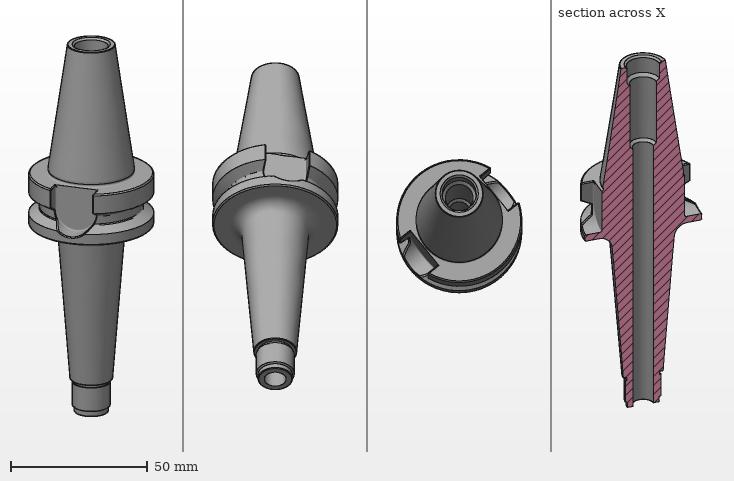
import cadquery as cq
import math


GAUGE_DIAMETER = 31.75
TAPER_RATIO = 7 / 24
TAPER_LENGTH = 48.4
TAPER_END_CHAMFER = 0.25
TAPER_LAND = 0.7
RELIEF_DIAMETER = 31.2
RELIEF_FOOT_DIAMETER = 32.4

FLANGE_DIAMETER = 46.0
FLANGE_TOP_Z = -2.0
FLANGE_BOTTOM_Z = -22.0
FLANGE_CHAMFER = 0.5
GROOVE_DIAMETER = 38.0
GROOVE_FLOOR_TOP_Z = -11.8
GROOVE_FLOOR_BOTTOM_Z = -15.3
GROOVE_CORNER_RADIUS = 0.5
GROOVE_FLANK_ANGLE = 30.0

SLOT_WIDTH = 16.1
SLOT_FLOOR_OFFSET = 16.3
SLOT_ARC_CENTER_Z = -11.1
SLOT_CORNER_RADIUS = 0.5
SLOT_EDGE_CHAMFER = 0.4

NECK_END_DIAMETER = 15.8
NECK_HALF_ANGLE = 4.5
NECK_END_Z = -82.4
NECK_END_CHAMFER = 0.3
NECK_FILLET = 5.0

SPIGOT_DIAMETER = 14.0
UNDERCUT_DIAMETER = 13.0
UNDERCUT_END_Z = -83.9
TIP_DIAMETER = 12.7
SPIGOT_CONE_TOP_Z = -93.0
SPIGOT_CONE_HEIGHT = 0.4
TIP_CHAMFER = 0.3
BOTTOM_Z = -95.5

BORE_DIAMETER = 12.5
BORE_MOUTH_DIAMETER = 14.0
BORE_DEPTH = 7.0
THREAD_DIAMETER = 10.11
THREAD_DEPTH = 34.0
THROUGH_DIAMETER = 8.0
BORE_CONE_ANGLE = 45.0

TOLERANCE = 0.001


def make_body():
    """Turned outline of the holder, revolved about the spindle axis."""
    small_radius = (GAUGE_DIAMETER - TAPER_LENGTH * TAPER_RATIO) / 2
    gauge_radius = GAUGE_DIAMETER / 2
    relief_radius = RELIEF_DIAMETER / 2
    relief_foot_radius = RELIEF_FOOT_DIAMETER / 2
    relief_middle_z = (FLANGE_TOP_Z - TAPER_LAND) / 2
    flange_radius = FLANGE_DIAMETER / 2
    groove_radius = GROOVE_DIAMETER / 2
    flank_angle = math.radians(GROOVE_FLANK_ANGLE)
    flank_height = (flange_radius - groove_radius) * math.tan(flank_angle)
    neck_end_radius = NECK_END_DIAMETER / 2
    corner_tangent = GROOVE_CORNER_RADIUS * math.tan(math.pi / 4 - flank_angle / 2)
    corner_radius = groove_radius + corner_tangent * math.cos(flank_angle)
    corner_rise = corner_tangent * math.sin(flank_angle)
    neck_angle = math.radians(NECK_HALF_ANGLE)
    neck_top_z = FLANGE_BOTTOM_Z - NECK_FILLET * (1 - math.sin(neck_angle))
    neck_radius = neck_end_radius + (neck_top_z - NECK_END_Z) * math.tan(neck_angle)
    fillet_center_radius = neck_radius + NECK_FILLET * math.cos(neck_angle)
    spigot_radius = SPIGOT_DIAMETER / 2
    undercut_radius = UNDERCUT_DIAMETER / 2
    tip_radius = TIP_DIAMETER / 2
    return (
        cq.Workplane("XZ")
        .moveTo(0, TAPER_LENGTH)
        .lineTo(small_radius - TAPER_END_CHAMFER, TAPER_LENGTH)
        .lineTo(small_radius, TAPER_LENGTH - TAPER_END_CHAMFER)
        .lineTo(gauge_radius, 0)
        .lineTo(gauge_radius, -TAPER_LAND)
        .threePointArc((relief_radius, relief_middle_z), (relief_foot_radius, FLANGE_TOP_Z))
        .lineTo(flange_radius - FLANGE_CHAMFER, FLANGE_TOP_Z)
        .lineTo(flange_radius, FLANGE_TOP_Z - FLANGE_CHAMFER)
        .lineTo(flange_radius, GROOVE_FLOOR_TOP_Z + flank_height)
        .lineTo(corner_radius, GROOVE_FLOOR_TOP_Z + corner_rise)
        .radiusArc((groove_radius, GROOVE_FLOOR_TOP_Z - corner_tangent), -GROOVE_CORNER_RADIUS)
        .lineTo(groove_radius, GROOVE_FLOOR_BOTTOM_Z + corner_tangent)
        .radiusArc((corner_radius, GROOVE_FLOOR_BOTTOM_Z - corner_rise), -GROOVE_CORNER_RADIUS)
        .lineTo(flange_radius, GROOVE_FLOOR_BOTTOM_Z - flank_height)
        .lineTo(flange_radius, FLANGE_BOTTOM_Z + FLANGE_CHAMFER)
        .lineTo(flange_radius - FLANGE_CHAMFER, FLANGE_BOTTOM_Z)
        .lineTo(fillet_center_radius, FLANGE_BOTTOM_Z)
        .radiusArc((neck_radius, neck_top_z), -NECK_FILLET)
        .lineTo(neck_end_radius, NECK_END_Z)
        .lineTo(neck_end_radius - NECK_END_CHAMFER, NECK_END_Z - NECK_END_CHAMFER)
        .lineTo(undercut_radius, NECK_END_Z - NECK_END_CHAMFER)
        .lineTo(undercut_radius, UNDERCUT_END_Z)
        .lineTo(spigot_radius, UNDERCUT_END_Z)
        .lineTo(spigot_radius, SPIGOT_CONE_TOP_Z)
        .lineTo(tip_radius, SPIGOT_CONE_TOP_Z - SPIGOT_CONE_HEIGHT)
        .lineTo(tip_radius, BOTTOM_Z + TIP_CHAMFER)
        .lineTo(tip_radius - TIP_CHAMFER, BOTTOM_Z)
        .lineTo(0, BOTTOM_Z)
        .close()
        .revolve(360, (0, 0, 0), (0, 1, 0))
    )


def make_bore():
    """Stepped axial bore, revolved about the spindle axis."""
    bore_radius = BORE_DIAMETER / 2
    mouth_radius = BORE_MOUTH_DIAMETER / 2
    thread_radius = THREAD_DIAMETER / 2
    through_radius = THROUGH_DIAMETER / 2
    cone_slope = math.tan(math.radians(BORE_CONE_ANGLE))
    bore_end_z = TAPER_LENGTH - BORE_DEPTH
    thread_end_z = TAPER_LENGTH - THREAD_DEPTH
    return (
        cq.Workplane("XZ")
        .moveTo(0, TAPER_LENGTH)
        .lineTo(mouth_radius, TAPER_LENGTH)
        .lineTo(bore_radius, TAPER_LENGTH - (mouth_radius - bore_radius) * cone_slope)
        .lineTo(bore_radius, bore_end_z)
        .lineTo(thread_radius, bore_end_z - (bore_radius - thread_radius) * cone_slope)
        .lineTo(thread_radius, thread_end_z)
        .lineTo(through_radius, thread_end_z - (thread_radius - through_radius) * cone_slope)
        .lineTo(through_radius, BOTTOM_Z)
        .lineTo(0, BOTTOM_Z)
        .close()
        .revolve(360, (0, 0, 0), (0, 1, 0))
    )


def make_slot(side):
    """Round-ended drive slot, open at the flange top; side is +1 or -1 along Y."""
    half_width = SLOT_WIDTH / 2
    slot_depth = FLANGE_DIAMETER / 2 - SLOT_FLOOR_OFFSET
    return (
        cq.Workplane("XZ", origin=(0, side * SLOT_FLOOR_OFFSET, 0))
        .moveTo(-half_width, 0)
        .lineTo(half_width, 0)
        .lineTo(half_width, SLOT_ARC_CENTER_Z)
        .threePointArc((0, SLOT_ARC_CENTER_Z - half_width), (-half_width, SLOT_ARC_CENTER_Z))
        .close()
        .extrude(-side * slot_depth)
    )


def on_slot_wall(point):
    if point.z > SLOT_ARC_CENTER_Z:
        wall_distance = abs(point.x)
    else:
        wall_distance = math.hypot(point.x, point.z - SLOT_ARC_CENTER_Z)
    return abs(wall_distance - SLOT_WIDTH / 2) < TOLERANCE


def on_slot_floor(point):
    return abs(abs(point.y) - SLOT_FLOOR_OFFSET) < TOLERANCE


def on_wall_seam(points):
    """True along the smooth seam between a straight slot wall and its rounded end."""
    return all(abs(point.z - SLOT_ARC_CENTER_Z) < TOLERANCE for point in points)


def slot_edges(body, at_floor):
    """Edges of the slot walls: where they meet the floor, or where they meet the outside."""
    found = []
    for edge in body.edges().vals():
        points = [edge.positionAt(fraction) for fraction in (0, 0.5, 1)]
        if not all(on_slot_wall(point) for point in points):
            continue
        if on_slot_floor(points[1]) != at_floor:
            continue
        if not on_wall_seam(points):
            found.append(edge)
    return found


body = make_body().cut(make_bore())
for slot_side in (1, -1):
    body = body.cut(make_slot(slot_side))
body = body.newObject(slot_edges(body, at_floor=False)).chamfer(SLOT_EDGE_CHAMFER)
result = body.newObject(slot_edges(body, at_floor=True)).fillet(SLOT_CORNER_RADIUS)